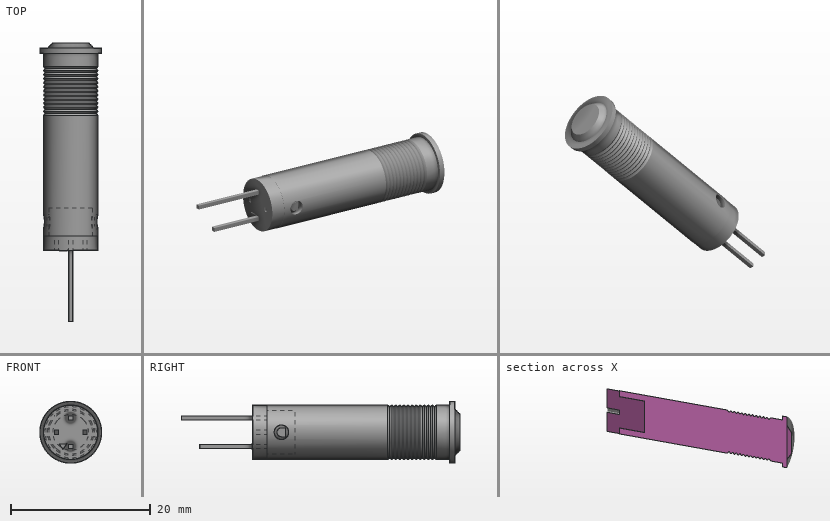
import cadquery as cq
import math

LENS_HEIGHT = 0.75
FLANGE_THICKNESS = 0.75
NECK_LENGTH = 1.9
THREAD_LENGTH = 7.02
PLUG_RIM_LENGTH = 2.05
FLANGE_FRONT = 29.1
FLANGE_BACK = FLANGE_FRONT - FLANGE_THICKNESS
THREAD_FRONT = FLANGE_BACK - NECK_LENGTH

FLANGE_RADIUS = 8.9 / 2
HOUSING_RADIUS = 3.95
PLUG_RADIUS = 3.9
LENS_BASE_RADIUS = 3.35
LENS_TOP_RADIUS = 2.55

GROOVE_COUNT = 12
GROOVE_PITCH = THREAD_LENGTH / GROOVE_COUNT
GROOVE_DEPTH = 0.25

STEM_RADIUS = 3.15
STEM_LENGTH = 4
LATCH_HOLE_RADIUS = 1.05
LATCH_HOLE_Y = 4.15
LATCH_RADIUS = 0.65
LATCH_FLAT_OFFSET = 0.55
LATCH_HEIGHT = 0.3

PIN_WIDTH = 0.6
PIN_CIRCLE_RADIUS = 2.05
TERMINAL_DEPTH = PLUG_RIM_LENGTH
UPPER_PIN_LENGTH = 10.27
LOWER_PIN_LENGTH = 7.62

MARK_HEIGHT = 0.12
MARK_CORNERS = [(-1.65, -1.7), (-0.52, -1.65), (-1.12, -2.45)]


def cylinder(radius, y_start, length):
    """Cylinder on the Y axis, running toward +Y from y_start."""
    return cq.Workplane("XZ", origin=(0, y_start, 0)).circle(radius).extrude(-length)


def square_bar(x, z, y_start, length):
    """Square bar parallel to Y, running toward +Y from y_start."""
    return cq.Workplane("XZ", origin=(x, y_start, z)).rect(PIN_WIDTH, PIN_WIDTH).extrude(-length)


def make_housing():
    """Flanged barrel with ring grooves, a rear bore and a hole across it."""
    outline = [
        (0, PLUG_RIM_LENGTH),
        (HOUSING_RADIUS, PLUG_RIM_LENGTH),
        (HOUSING_RADIUS, THREAD_FRONT - THREAD_LENGTH),
    ]
    for groove in range(GROOVE_COUNT):
        groove_start = THREAD_FRONT - THREAD_LENGTH + groove * GROOVE_PITCH
        outline.append((HOUSING_RADIUS - GROOVE_DEPTH, groove_start + GROOVE_PITCH / 2))
        outline.append((HOUSING_RADIUS, groove_start + GROOVE_PITCH))
    outline += [
        (HOUSING_RADIUS, FLANGE_BACK),
        (FLANGE_RADIUS, FLANGE_BACK),
        (FLANGE_RADIUS, FLANGE_FRONT),
        (0, FLANGE_FRONT),
    ]
    barrel = cq.Workplane("XY").polyline(outline).close().revolve(360, (0, 0, 0), (0, 1, 0))
    bore = cylinder(STEM_RADIUS, PLUG_RIM_LENGTH, STEM_LENGTH)
    latch_hole = (
        cq.Workplane("YZ")
        .center(LATCH_HOLE_Y, 0)
        .circle(LATCH_HOLE_RADIUS)
        .extrude(FLANGE_RADIUS, both=True)
    )
    return barrel.cut(bore).cut(latch_hole)


def make_lens():
    """Shallow cone with a flat top, standing on the flange."""
    outline = [
        (0, FLANGE_FRONT),
        (LENS_BASE_RADIUS, FLANGE_FRONT),
        (LENS_TOP_RADIUS, FLANGE_FRONT + LENS_HEIGHT),
        (0, FLANGE_FRONT + LENS_HEIGHT),
    ]
    return cq.Workplane("XY").polyline(outline).close().revolve(360, (0, 0, 0), (0, 1, 0))


def make_latches():
    """Bar across the stem whose two U-shaped ends stand out as the latches."""
    flat_y = LATCH_HOLE_Y + LATCH_FLAT_OFFSET
    return (
        cq.Workplane("YZ")
        .moveTo(flat_y, LATCH_RADIUS)
        .lineTo(LATCH_HOLE_Y, LATCH_RADIUS)
        .threePointArc((LATCH_HOLE_Y - LATCH_RADIUS, 0), (LATCH_HOLE_Y, -LATCH_RADIUS))
        .lineTo(flat_y, -LATCH_RADIUS)
        .close()
        .extrude(STEM_RADIUS + LATCH_HEIGHT, both=True)
    )


def make_plug():
    """Rear plug: rim, stem with latches, four terminal holes and a raised mark."""
    plug = cylinder(PLUG_RADIUS, 0, PLUG_RIM_LENGTH)
    plug = plug.union(cylinder(STEM_RADIUS, PLUG_RIM_LENGTH, STEM_LENGTH))
    plug = plug.union(make_latches())
    mark = cq.Workplane("XZ").polyline(MARK_CORNERS).close().extrude(MARK_HEIGHT)
    plug = plug.union(mark)
    for quarter in range(4):
        angle = math.radians(90 * quarter)
        x = PIN_CIRCLE_RADIUS * math.cos(angle)
        z = PIN_CIRCLE_RADIUS * math.sin(angle)
        plug = plug.cut(square_bar(x, z, 0, TERMINAL_DEPTH))
    return plug


def make_pin(z, length):
    """Square pin seated to the bottom of its terminal hole."""
    return square_bar(0, z, -length, length + TERMINAL_DEPTH)


housing = make_housing()
lens = make_lens()
plug = make_plug()
pins = [
    make_pin(z, length)
    for z, length in [(PIN_CIRCLE_RADIUS, UPPER_PIN_LENGTH), (-PIN_CIRCLE_RADIUS, LOWER_PIN_LENGTH)]
]

result = cq.Compound.makeCompound(
    [housing.val(), lens.val(), plug.val(), *[pin.val() for pin in pins]]
)